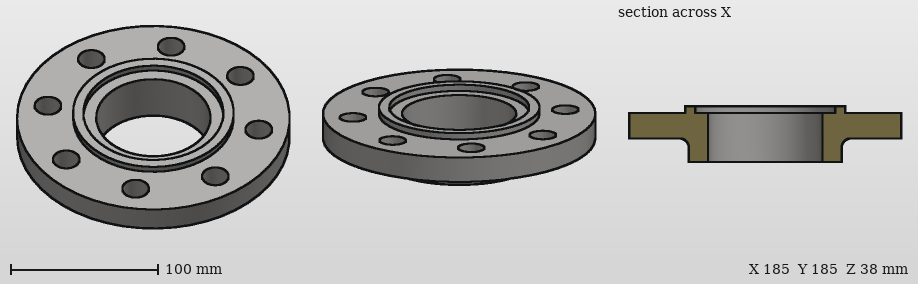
import cadquery as cq

flange_diameter = 185.0
total_height = 38.0
flange_thickness = 22.0

tongue_outer_diameter = 109.0
tongue_inner_diameter = 95.0
tongue_height = 4.5

hub_diameter = 104.0
hub_fillet_radius = 6.0
bore_diameter = 77.5

bolt_count = 8
bolt_hole_diameter = 18.0
bolt_circle_diameter = 145.0

hub_height = total_height - flange_thickness
plate_top = total_height - tongue_height


def revolved_body():
    """Flange, tongue and filleted hub as one turned section around Z."""
    bore_radius = bore_diameter / 2
    hub_radius = hub_diameter / 2
    flange_radius = flange_diameter / 2
    tongue_outer_radius = tongue_outer_diameter / 2
    tongue_inner_radius = tongue_inner_diameter / 2
    section = (
        cq.Workplane("XZ")
        .moveTo(bore_radius, 0)
        .lineTo(hub_radius, 0)
        .lineTo(hub_radius, hub_height - hub_fillet_radius)
        .radiusArc((hub_radius + hub_fillet_radius, hub_height), hub_fillet_radius)
        .lineTo(flange_radius, hub_height)
        .lineTo(flange_radius, plate_top)
        .lineTo(tongue_outer_radius, plate_top)
        .lineTo(tongue_outer_radius, total_height)
        .lineTo(tongue_inner_radius, total_height)
        .lineTo(tongue_inner_radius, plate_top)
        .lineTo(bore_radius, plate_top)
        .close()
    )
    return section.revolve(360, (0, 0, 0), (0, 1, 0))


def bolt_holes():
    """Through holes on the bolt circle, offset by half a pitch from X."""
    half_pitch_angle = 360 / bolt_count / 2
    return (
        cq.Workplane("XY")
        .polarArray(bolt_circle_diameter / 2, half_pitch_angle, 360, bolt_count)
        .circle(bolt_hole_diameter / 2)
        .extrude(total_height)
    )


result = revolved_body().cut(bolt_holes())